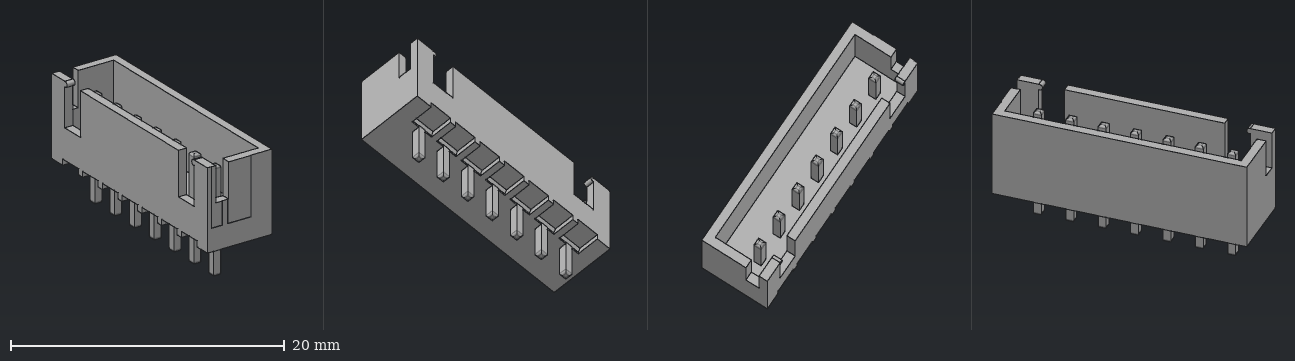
import cadquery as cq

body_length = 20.0
body_depth = 5.75
body_height = 6.88
wall = 0.725
floor_thickness = 1.5

side_notch_width = 1.15
side_notch_depth = 3.0
front_notch_width = 2.0
front_notch_depth = 3.75
front_post_width = 1.7

latch_radius = 0.24
latch_offset = 0.06

pin_count = 7
pin_pitch = 2.54
pin_size = 0.64
pin_center_y = 2.26
pin_shift_x = 0.06
pin_bottom = -3.2
pin_top = 5.68
pin_tip_radius = 0.19

relief_width = 2.0
relief_height = 0.5
relief_depth = 1.955
relief_slope_height = 0.33
relief_slope_run = 0.165

pad_thickness = 0.04
pad_height = 4.95
front_pad_start = 0.36
front_pad_width = 0.96
rear_pad_start = 1.8
rear_pad_width = 2.07


def box(x0, y0, z0, length, width, height):
    """Box with its minimum corner at (x0, y0, z0)."""
    return cq.Workplane("XY").box(length, width, height, centered=False).translate((x0, y0, z0))


def make_shell():
    """Open-topped box with the raised end pads."""
    shell = box(-body_length / 2, 0, 0, body_length, body_depth, body_height)
    for start, width in ((front_pad_start, front_pad_width), (rear_pad_start, rear_pad_width)):
        pad = box(body_length / 2, start, body_height - pad_height, pad_thickness, width, pad_height)
        shell = shell.union(pad)
    cavity = box(
        wall - body_length / 2,
        wall,
        floor_thickness,
        body_length - 2 * wall,
        body_depth - 2 * wall,
        body_height - floor_thickness,
    )
    return shell.cut(cavity)


def make_side_notch():
    """Cutter for the notch through both end walls, just behind the front wall."""
    length = body_length + 2 * pad_thickness
    return box(
        -length / 2, wall, body_height - side_notch_depth, length, side_notch_width, side_notch_depth
    )


def make_front_notch(side):
    """Cutter for one front-wall notch; side is -1 for the left and +1 for the right."""
    center_x = side * (body_length / 2 - front_post_width - front_notch_width / 2)
    return box(
        center_x - front_notch_width / 2,
        0,
        body_height - front_notch_depth,
        front_notch_width,
        wall,
        front_notch_depth,
    )


def make_latch(side):
    """Round rib along Y on the inner edge of one front post, flush with the rim."""
    center_x = side * (body_length / 2 - front_post_width - latch_offset)
    rib = cq.Workplane("XZ").center(center_x, body_height - latch_radius).circle(latch_radius)
    return rib.extrude(-wall)


def make_relief(center_x):
    """Cutter for one relief pocket, whose ceiling slopes down to its rear face."""
    profile = (
        cq.Workplane("YZ")
        .moveTo(0, 0)
        .lineTo(relief_depth, 0)
        .lineTo(relief_depth, relief_height - relief_slope_height)
        .lineTo(relief_depth - relief_slope_run, relief_height)
        .lineTo(0, relief_height)
        .close()
    )
    return profile.extrude(relief_width / 2, both=True).translate((center_x, 0, 0))


def make_pin(center_x):
    """Square pin with rounded end edges."""
    pin = box(
        center_x - pin_size / 2,
        pin_center_y - pin_size / 2,
        pin_bottom,
        pin_size,
        pin_size,
        pin_top - pin_bottom,
    )
    return pin.faces("<Z or >Z").edges().fillet(pin_tip_radius)


result = make_shell().cut(make_side_notch())
for side in (-1, 1):
    result = result.cut(make_front_notch(side)).union(make_latch(side))

for index in range(pin_count):
    pin_x = (index - (pin_count - 1) / 2) * pin_pitch + pin_shift_x
    result = result.cut(make_relief(pin_x)).union(make_pin(pin_x))